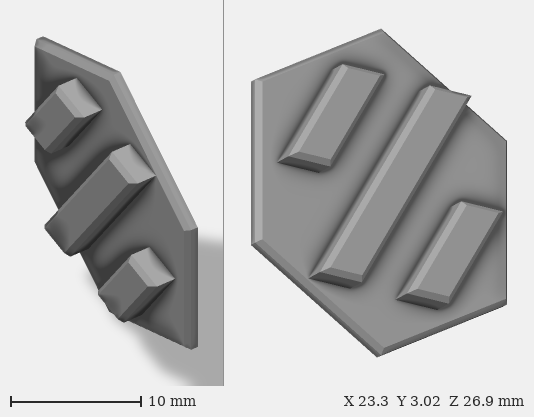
import cadquery as cq
import math

plate_height = 26.9
plate_thickness = 1.0

bar_rise = 2.02
bar_width = 3.87
bar_slant = math.radians(60)
bar_top = 8.8
short_bar_bottom = 0.1
short_bar_bottom_left = -9.93

edge_chamfer = 0.4

total_depth = plate_thickness + bar_rise
plate_front = total_depth / 2 - plate_thickness


def extrude_forward(outline, back, depth):
    """Extrude an XZ outline from Y = back toward -Y and chamfer its front edges."""
    solid = cq.Workplane("XZ", origin=(0, back, 0)).polyline(outline).close().extrude(depth)
    return solid.faces("<Y").chamfer(edge_chamfer)


def slanted_bar(left, bottom, top):
    """Parallelogram bar whose lower left corner is at (left, bottom)."""
    shift = (top - bottom) / math.tan(bar_slant)
    outline = [
        (left, bottom),
        (left + bar_width, bottom),
        (left + bar_width + shift, top),
        (left + shift, top),
    ]
    return extrude_forward(outline, plate_front, bar_rise)


hexagon = [
    (plate_height / 2 * math.sin(math.radians(angle)), plate_height / 2 * math.cos(math.radians(angle)))
    for angle in range(0, 360, 60)
]
plate = extrude_forward(hexagon, total_depth / 2, plate_thickness)

long_bar_left = -bar_width / 2 - bar_top / math.tan(bar_slant)
long_bar = slanted_bar(long_bar_left, -bar_top, bar_top)

short_bar = slanted_bar(short_bar_bottom_left, short_bar_bottom, bar_top)
opposite_bar = short_bar.rotate((0, 0, 0), (0, 1, 0), 180)

result = plate.union(long_bar).union(short_bar).union(opposite_bar)